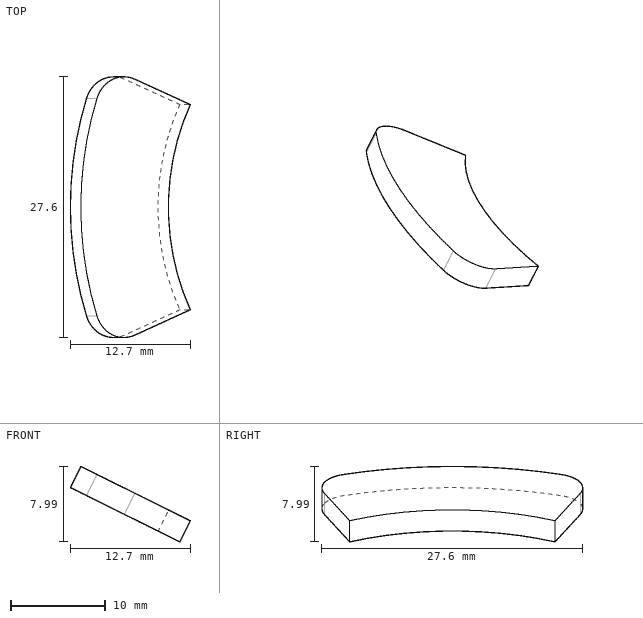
import cadquery as cq
import math

thickness = 2.5
tilt = 26.4
outer_radius = 35.57
inner_radius = 24.05
mid_width = 10.35
inner_half_span = 10.84
end_angle = 22.3
corner_radius = 3.35

inner_center_x = mid_width + inner_radius
inner_tip_x = inner_center_x - math.sqrt(inner_radius**2 - inner_half_span**2)

end_dx = -math.cos(math.radians(end_angle))
end_dy = math.sin(math.radians(end_angle))
tip_offset_x = inner_tip_x - outer_radius
along = tip_offset_x * end_dx + inner_half_span * end_dy
tip_distance_squared = tip_offset_x**2 + inner_half_span**2
end_length = -along + math.sqrt(along**2 + outer_radius**2 - tip_distance_squared)
corner_x = inner_tip_x + end_length * end_dx
corner_y = inner_half_span + end_length * end_dy

plate = (
    cq.Workplane("XY")
    .moveTo(inner_tip_x, -inner_half_span)
    .lineTo(corner_x, -corner_y)
    .threePointArc((0, 0), (corner_x, corner_y))
    .lineTo(inner_tip_x, inner_half_span)
    .threePointArc((mid_width, 0), (inner_tip_x, -inner_half_span))
    .close()
    .extrude(thickness)
)

plate = plate.edges("|Z").edges(">Y or <Y").fillet(corner_radius)

result = plate.rotate((0, 0, 0), (0, 1, 0), tilt)